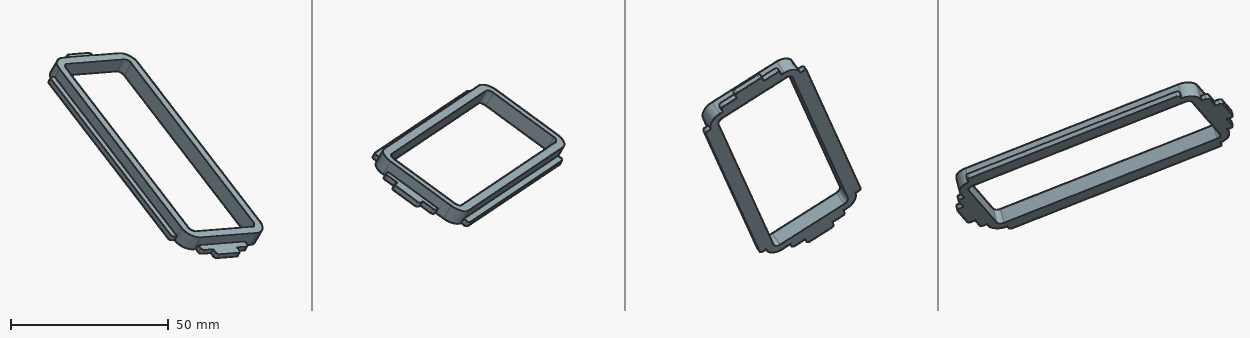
import cadquery as cq

LEFT = -1
RIGHT = 1

frame_length = 83.7
frame_width = 33.7
frame_height = 5.3
wall = 2.9
outer_radius = 4.7
inner_radius = outer_radius - wall
tilt = 30.0

ledge_thickness = 1.8
ledge_depth = 2.1
ledge_length = frame_length - 2 * outer_radius
corner_radius = 0.9

narrow_reach = 4.65
narrow_width = 10.2
left_wide_reach = 2.3
left_wide_width = 22.0
right_wide_reach = 2.2
right_wide_width = 20.0
right_wide_offset = -1.0
right_narrow_offset = -1.1


def rounded_plate(length, width, height, radius):
    """Plate centred on the origin, standing on Z = 0, with rounded vertical edges."""
    plate = cq.Workplane("XY").box(length, width, height, centered=(True, True, False))
    return plate.edges("|Z").fillet(radius)


def end_step(side, reach, width, center=0.0):
    """One step of an end tab on the -X (LEFT) or +X (RIGHT) end of the frame."""
    length = reach + wall / 2
    middle = frame_length / 2 + reach - length / 2
    step = cq.Workplane("XY").box(length, width, ledge_thickness, centered=(True, True, False))
    step = step.translate((middle, center, 0)).edges("|Z and >X").fillet(corner_radius)
    return step if side == RIGHT else step.mirror("YZ")


ledges = rounded_plate(ledge_length, frame_width + 2 * ledge_depth, ledge_thickness, corner_radius)
body = rounded_plate(frame_length, frame_width, frame_height, outer_radius).union(ledges)

body = body.union(end_step(LEFT, left_wide_reach, left_wide_width))
body = body.union(end_step(LEFT, narrow_reach, narrow_width))
body = body.union(end_step(RIGHT, right_wide_reach, right_wide_width, right_wide_offset))
body = body.union(end_step(RIGHT, narrow_reach, narrow_width, right_narrow_offset))

opening = rounded_plate(frame_length - 2 * wall, frame_width - 2 * wall, frame_height, inner_radius)
body = body.cut(opening)

result = body.rotate((0, 0, 0), (1, 0, 0), -tilt)